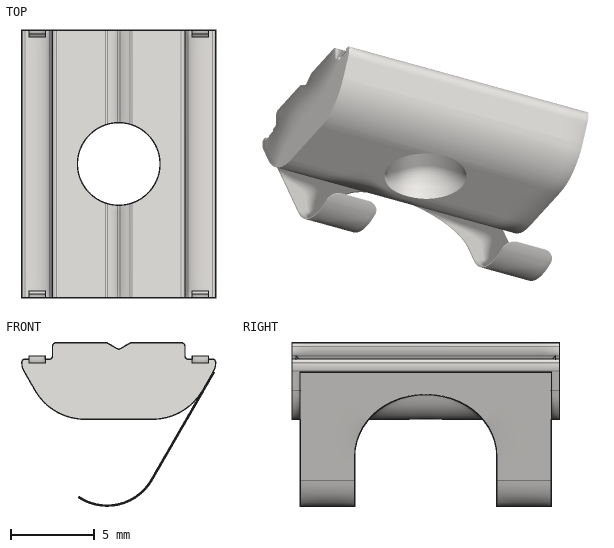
import cadquery as cq
import math

length = 16.0
half_width = 11.6 / 2
body_height = 4.6
boss_half_width = 3.97
shelf_depth = 1.0
flank_depth = 1.49
flank_angle = 60.0
boss_edge_radius = 0.24
boss_root_radius = 0.18
shelf_edge_radius = 0.2
side_radius = 0.95
belly_radius = 3.42
hole_diameter = 4.93

groove_half_width = 0.72
groove_angle = 30.0
groove_edge_radius = 0.24
groove_root_radius = 0.16

ridge_width = 1.0
ridge_center_x = 4.88
ridge_height = 0.2
notch_depth = 0.24
notch_length = 0.24
ramp_length = 0.18

spring_thickness = 0.08
spring_half_length = 7.5
spring_top_depth = 1.76
bottom_depth = 9.8
hook_radius = 3.1
hook_tip_angle = 33.5
tip_corner_radius = 0.72
window_half_width = 4.24
window_center_depth = 6.75

flank_tan = math.tan(math.radians(flank_angle))
flank_sin = math.sin(math.radians(flank_angle))
flank_cos = math.cos(math.radians(flank_angle))


def flank_x(depth):
    """X of the +X flank plane at a depth below the top face."""
    return half_width - (depth - flank_depth) / flank_tan


def round_edges(solid, corners, radius):
    """Fillet the lengthwise edges passing through the given XZ corners."""
    for x, z in corners:
        solid = solid.edges(cq.selectors.NearestToPointSelector((x, 0, z))).fillet(radius)
    return solid


def make_body():
    groove_depth = groove_half_width * math.tan(math.radians(groove_angle))
    right_half = [
        (groove_half_width, 0),
        (boss_half_width, 0),
        (boss_half_width, -shelf_depth),
        (half_width, -shelf_depth),
        (half_width, -flank_depth),
        (flank_x(body_height), -body_height),
    ]
    left_half = [(-x, z) for x, z in reversed(right_half)]
    outline = [(0, -groove_depth)] + right_half + left_half
    body = cq.Workplane("XZ").polyline(outline).close().extrude(length / 2, both=True)

    corner_radii = [
        groove_edge_radius,
        boss_edge_radius,
        boss_root_radius,
        shelf_edge_radius,
        side_radius,
        belly_radius,
    ]
    body = round_edges(body, [(0, -groove_depth)], groove_root_radius)
    for (x, z), radius in zip(right_half, corner_radii):
        body = round_edges(body, [(x, z), (-x, z)], radius)
    return body


def stake_prism(end, side, points):
    """Prism across a shelf; points are (distance in from the end, height above the shelf)."""
    outline = [(end * (length / 2 - inset), height - shelf_depth) for inset, height in points]
    start_x = side * ridge_center_x - ridge_width / 2
    return cq.Workplane("YZ", origin=(start_x, 0, 0)).polyline(outline).close().extrude(ridge_width)


def add_stakes(body):
    notch = [(0, 0), (notch_length, 0), (notch_length, -notch_depth), (0, -notch_depth)]
    ramp_end = notch_length + ramp_length
    ridge = [
        (notch_length, -notch_depth),
        (notch_length, ridge_height),
        (ramp_end, 0),
        (ramp_end, -notch_depth),
    ]
    for end in (-1, 1):
        for side in (-1, 1):
            body = body.cut(stake_prism(end, side, notch))
            body = body.union(stake_prism(end, side, ridge))
    return body


def corner_waste(plane, y, inward):
    """Material outside a rounded tip corner; inward is the Y direction toward the arm."""
    radius = tip_corner_radius
    diagonal = radius * (1 - math.sqrt(0.5))
    return (
        cq.Workplane(plane)
        .moveTo(radius, y)
        .threePointArc((diagonal, y + inward * diagonal), (0, y + inward * radius))
        .lineTo(-radius, y + inward * radius)
        .lineTo(-radius, y - inward * radius)
        .lineTo(radius, y - inward * radius)
        .close()
        .extrude(radius, both=True)
    )


def make_spring():
    center_z = hook_radius - bottom_depth
    bend_z = center_z - hook_radius * flank_cos
    outer_bend_x = flank_x(-bend_z) + spring_thickness / flank_sin
    center_x = outer_bend_x - hook_radius * flank_sin
    inner_radius = hook_radius - spring_thickness

    def on_hook(radius, angle):
        """Point on the hook, angle measured from the lowest point toward +X."""
        turn = math.radians(angle)
        return center_x + radius * math.sin(turn), center_z - radius * math.cos(turn)

    top_inner = (flank_x(spring_top_depth), -spring_top_depth)
    top_outer = (
        top_inner[0] + spring_thickness * flank_sin,
        top_inner[1] - spring_thickness * flank_cos,
    )
    spring = (
        cq.Workplane("XZ")
        .moveTo(*top_inner)
        .lineTo(*top_outer)
        .lineTo(*on_hook(hook_radius, flank_angle))
        .threePointArc(on_hook(hook_radius, 0), on_hook(hook_radius, -hook_tip_angle))
        .lineTo(*on_hook(inner_radius, -hook_tip_angle))
        .threePointArc(on_hook(inner_radius, 0), on_hook(inner_radius, flank_angle))
        .close()
        .extrude(spring_half_length, both=True)
    )

    reach = bottom_depth
    flank_plane = cq.Plane(
        origin=(flank_x(window_center_depth), 0, -window_center_depth),
        xDir=(0, 1, 0),
        normal=(flank_sin, 0, -flank_cos),
    )
    window = (
        cq.Workplane(flank_plane)
        .circle(window_half_width)
        .extrude(reach, both=True)
    )
    open_end = (
        cq.Workplane(flank_plane)
        .center(0, -reach / 2)
        .rect(2 * window_half_width, reach)
        .extrude(reach, both=True)
    )
    spring = spring.cut(window).cut(open_end)

    tip_x, tip_z = on_hook(hook_radius, -hook_tip_angle)
    tip_turn = math.radians(hook_tip_angle)
    tip_plane = cq.Plane(
        origin=(tip_x, 0, tip_z),
        xDir=(math.cos(tip_turn), 0, -math.sin(tip_turn)),
        normal=(math.sin(tip_turn), 0, math.cos(tip_turn)),
    )
    for end in (-1, 1):
        for y, inward in ((window_half_width, end), (spring_half_length, -end)):
            corner = corner_waste(tip_plane, end * y, inward)
            spring = spring.cut(corner)
    return spring


body = add_stakes(make_body())
hole = cq.Workplane("XY").circle(hole_diameter / 2).extrude(-body_height)
result = body.cut(hole).union(make_spring())